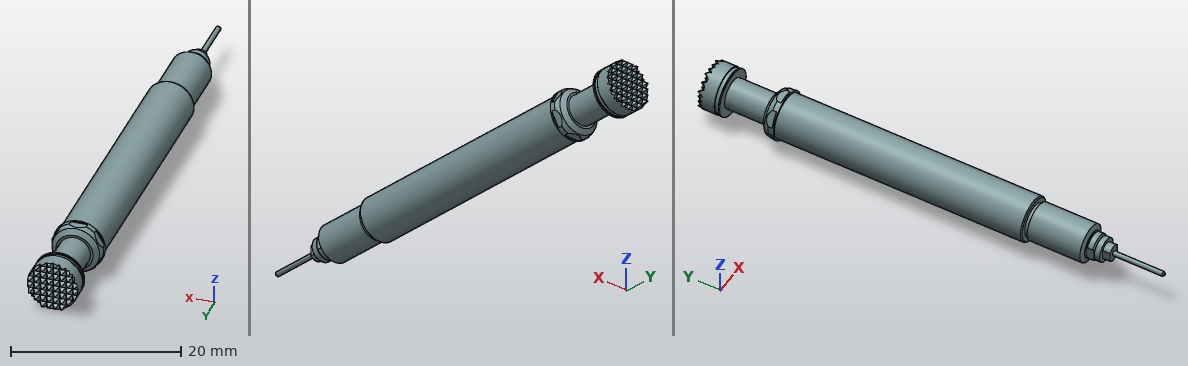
import cadquery as cq
import math


head_d = 6.2
head_top = 10.45
head_bottom = 7.35
head_groove_d = 5.9
head_groove_width = 0.55
head_rim = 0.2
serration_pitch = 0.8
serration_depth = 0.65
serration_rows = 9

stem_d = 4.0

collar_d = 6.4
collar_sides = 6
collar_across_flats = 6.04
collar_nose_d = 4.6
collar_shoulder_d = 5.9
collar_top = 1.9
collar_shoulder = 1.4
collar_full = 0.75
collar_flange = 0.2

barrel_d = 5.9
barrel_bottom = -33.6
barrel_chamfer = 0.15
neck_d = 4.4
neck_length = 0.5
tail_d = 5.0
tail_bottom = -41.5
tail_end_d = 3.6
tail_taper = 0.25

ring_d = 3.45
ring_across_flats = 3.0
ring_bottom = -42.65
ring_chamfer = 0.2
plain_ring_d = 3.15
plain_ring_bottom = -43.4
terminal_d = 2.15
terminal_across_flats = 1.7
terminal_bottom = -44.4
pin_d = 0.65
overall_length = 61.8
pin_bottom = head_top - overall_length
pin_chamfer = 0.2


def cylinder(diameter, y_low, y_high):
    """Cylinder about the Y axis between two stations."""
    axis_start = cq.Vector(0, y_low, 0)
    return cq.Workplane(cq.Solid.makeCylinder(diameter / 2, y_high - y_low, axis_start, cq.Vector(0, 1, 0)))


def turned(points):
    """Solid of revolution about Y from (diameter, y) corners."""
    outline = [(0, points[0][1])]
    outline += [(diameter / 2, y) for diameter, y in points]
    outline += [(0, points[-1][1])]
    return cq.Workplane("XY").polyline(outline).close().revolve(360, (0, 0, 0), (0, 1, 0))


def two_flats(body, across_flats, diameter, y_low, y_high):
    """Trim a cylinder to two flats facing -X and +X."""
    height = y_high - y_low
    slab = cq.Workplane("XY").box(across_flats, height, diameter)
    return body.intersect(slab.translate((0, (y_low + y_high) / 2, 0)))


def serrations():
    """V-grooves crossing the head face along X and along Z."""
    half_width = serration_pitch / 2
    reach = (serration_rows - 1) / 2
    cutters = []
    for row in range(serration_rows):
        x = (row - reach) * serration_pitch
        vee = [
            (x - half_width, head_top),
            (x, head_top - serration_depth),
            (x + half_width, head_top),
        ]
        groove = cq.Workplane("XY").polyline(vee).close().extrude(head_d, both=True)
        cutters.append(groove)
        cutters.append(groove.rotate((0, 0, 0), (0, 1, 0), 90))
    return cutters


def make_head():
    head = cylinder(head_d, head_bottom, head_top)
    groove_low = head_bottom + head_rim
    groove_high = groove_low + head_groove_width
    groove = cylinder(head_d, groove_low, groove_high).cut(cylinder(head_groove_d, groove_low, groove_high))
    head = head.cut(groove)
    for cutter in serrations():
        head = head.cut(cutter)
    return head


def make_collar():
    nose = turned([
        (collar_nose_d, collar_top),
        (collar_shoulder_d, collar_shoulder),
        (collar_d, collar_full),
        (collar_d, collar_flange),
    ])
    corner_d = collar_across_flats / math.cos(math.pi / collar_sides)
    hexagon = cq.Workplane("XZ").polygon(collar_sides, corner_d).extrude(-collar_top)
    return nose.intersect(hexagon).union(cylinder(collar_d, 0, collar_flange))


def make_barrel_and_tail():
    neck_bottom = barrel_bottom - neck_length
    return turned([
        (barrel_d, 0),
        (barrel_d, barrel_bottom + barrel_chamfer),
        (barrel_d - 2 * barrel_chamfer, barrel_bottom),
        (neck_d, barrel_bottom),
        (neck_d, neck_bottom),
        (tail_d, neck_bottom),
        (tail_d, tail_bottom + tail_taper),
        (tail_end_d, tail_bottom),
    ])


def make_terminal():
    ring = cylinder(ring_d, ring_bottom, tail_bottom).faces("<Y or >Y").chamfer(ring_chamfer)
    ring = two_flats(ring, ring_across_flats, ring_d, ring_bottom, tail_bottom)
    plain_ring = cylinder(plain_ring_d, plain_ring_bottom, ring_bottom)
    tip = cylinder(terminal_d, terminal_bottom, plain_ring_bottom)
    tip = two_flats(tip, terminal_across_flats, terminal_d, terminal_bottom, plain_ring_bottom)
    pin = cylinder(pin_d, pin_bottom, terminal_bottom).faces("<Y").chamfer(pin_chamfer)
    return ring.union(plain_ring).union(tip).union(pin)


stem = cylinder(stem_d, 0, head_bottom)
result = make_barrel_and_tail().union(make_collar()).union(stem).union(make_head()).union(make_terminal())